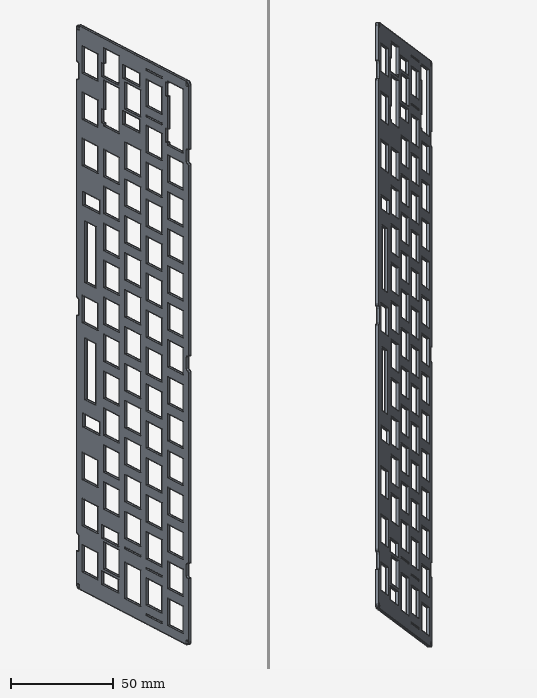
import cadquery as cq

UNIT = 19.05
ROW_UNITS = 15
ROW_COUNT = 5
PLATE_WIDTH = 100.0
PLATE_LENGTH = 290.5
THICKNESS = 1.5
TILT = 6.0
CUT_DEPTH = 3 * THICKNESS

CORNER_RADIUS = 2.0
CORNER_HOLE_INSET = 1.5
LEFT_HOLE_DIAMETER = 1.96
RIGHT_HOLE_DIAMETER = 1.86

SWITCH = 14.0
STABILIZER_WIDTH = 15.0
STABILIZER_LENGTH = 7.0
STABILIZER_SHIFT = 1.2
STABILIZER_SPREAD = 11.9
SPACEBAR_SPREAD = 3 * UNIT
SLIT_LENGTH = 0.8
SLIT_SPREAD = 11.95
WINDOW_WIDTH = 9.7
WINDOW_LENGTH = 31.7
WINDOW_SHIFT = 0.35
WINDOW_SPREAD = 30.2

NOTCH_DEPTH = 2.0
LEFT_NOTCH_LENGTH = 9.0
LEFT_NOTCH_RADIUS = 0.98
LEFT_NOTCH_OFFSET = 121.7
RIGHT_NOTCH_LENGTH = 7.5
RIGHT_NOTCH_RADIUS = 0.93
RIGHT_NOTCH_OFFSET = 106.85

SPACE_ROW, SHIFT_ROW, HOME_ROW, TAB_ROW, NUMBER_ROW = range(ROW_COUNT)
SPACEBAR = 7.5
LEFT_SHIFT = 13.875
RIGHT_SHIFT = 1.375
ENTER = 1.125
BACKSPACE = 1.0
WIDE_TAB_ROW_KEYS = [0.75, 14.25]
HOME_ROW_SLIT_KEY = 14.0

SINGLE_KEYS = {
    SPACE_ROW: [0.75, 2.0, 3.25, SPACEBAR, 11.75, 13.0, 14.25],
    SHIFT_ROW: [3.25 + key for key in range(10)] + [LEFT_SHIFT],
    HOME_ROW: [ENTER] + [2.75 + key for key in range(11)],
    TAB_ROW: WIDE_TAB_ROW_KEYS + [2.0 + key for key in range(12)],
    NUMBER_ROW: [2.5 + key for key in range(13)],
}

SHARED_KEYS = [
    (NUMBER_ROW, BACKSPACE - 0.5, BACKSPACE + 0.5),
    (SHIFT_ROW, 0.5, 0.5),
    (SHIFT_ROW, RIGHT_SHIFT, RIGHT_SHIFT + 0.5),
    (HOME_ROW, 14.125, 14.375),
]

STABILIZED_KEYS = [
    (NUMBER_ROW, BACKSPACE, STABILIZER_SPREAD, -STABILIZER_SHIFT),
    (HOME_ROW, ENTER, STABILIZER_SPREAD, -STABILIZER_SHIFT),
    (SHIFT_ROW, RIGHT_SHIFT, STABILIZER_SPREAD, -STABILIZER_SHIFT),
    (SHIFT_ROW, LEFT_SHIFT, STABILIZER_SPREAD, -STABILIZER_SHIFT),
    (SPACE_ROW, SPACEBAR, SPACEBAR_SPREAD, STABILIZER_SHIFT),
]


def row_x(row):
    return (row - (ROW_COUNT - 1) / 2) * UNIT


def key_y(units):
    return (ROW_UNITS / 2 - units) * UNIT


def opening(x, y, width, length):
    """Rectangular cutter through the plate, centred on (x, y)."""
    return cq.Workplane("XY").box(width, length, CUT_DEPTH).translate((x, y, 0))


def switch_slot(row, first, last):
    """Opening for a switch at any place between two centres in a row."""
    length = SWITCH + (last - first) * UNIT
    return opening(row_x(row), key_y((first + last) / 2), SWITCH, length)


def stabilizer(row, key, spread, shift):
    return opening(row_x(row) + shift, key_y(key) + spread, STABILIZER_WIDTH, STABILIZER_LENGTH)


def slit(row, key, spread):
    return opening(row_x(row), key_y(key) + spread, SWITCH, SLIT_LENGTH)


def window(end):
    """Long opening on one side of the middle spacebar switch."""
    x = row_x(SPACE_ROW) + WINDOW_SHIFT
    return opening(x, end * WINDOW_SPREAD, WINDOW_WIDTH, WINDOW_LENGTH)


def corner_holes(side, diameter):
    """Small holes through the two corners on one side of the plate."""
    x = side * (PLATE_WIDTH / 2 - CORNER_HOLE_INSET)
    y = PLATE_LENGTH / 2 - CORNER_HOLE_INSET
    holes = cq.Workplane("XY").pushPoints([(x, y), (x, -y)]).circle(diameter / 2)
    return holes.extrude(CUT_DEPTH / 2, both=True)


def notch(side, y, length, radius, rounded_mouth_ends):
    """Notch in a long edge with rounded floor corners.

    side is -1 or 1. Each listed end, -1 for the lower or 1 for the upper, also has a rounded mouth.
    """
    edge = side * PLATE_WIDTH / 2
    floor = edge - side * NOTCH_DEPTH
    cutter = opening(edge, y, 2 * NOTCH_DEPTH, length)
    rounded_corners = [(floor, y - length / 2), (floor, y + length / 2)]
    for end in rounded_mouth_ends:
        wall = y + end * length / 2
        block = opening(edge + side * NOTCH_DEPTH / 2, wall, NOTCH_DEPTH, 4 * radius)
        cutter = cutter.union(block)
        rounded_corners.append((edge, wall))
    for corner_x, corner_y in rounded_corners:
        corner = cq.selectors.NearestToPointSelector((corner_x, corner_y, 0))
        cutter = cutter.edges(corner).fillet(radius)
    return cutter


def edge_notches(side, offset, length, radius):
    """Three notches in one long edge, mirrored about the middle of the plate."""
    return [
        notch(side, offset, length, radius, [-1]),
        notch(side, 0, length, radius, [-1, 1]),
        notch(side, -offset, length, radius, [1]),
    ]


cuts = [switch_slot(row, key, key) for row, keys in SINGLE_KEYS.items() for key in keys]
cuts += [switch_slot(row, first, last) for row, first, last in SHARED_KEYS]

for end in (-1, 1):
    cuts += [stabilizer(row, key, end * spread, shift) for row, key, spread, shift in STABILIZED_KEYS]
    cuts += [slit(TAB_ROW, key, end * SLIT_SPREAD) for key in WIDE_TAB_ROW_KEYS]
    cuts.append(window(end))
cuts.append(slit(HOME_ROW, HOME_ROW_SLIT_KEY, SLIT_SPREAD))

cuts += edge_notches(-1, LEFT_NOTCH_OFFSET, LEFT_NOTCH_LENGTH, LEFT_NOTCH_RADIUS)
cuts += edge_notches(1, RIGHT_NOTCH_OFFSET, RIGHT_NOTCH_LENGTH, RIGHT_NOTCH_RADIUS)
cuts.append(corner_holes(-1, LEFT_HOLE_DIAMETER))
cuts.append(corner_holes(1, RIGHT_HOLE_DIAMETER))

plate = cq.Workplane("XY").box(PLATE_WIDTH, PLATE_LENGTH, THICKNESS)
plate = plate.edges("|Z").fillet(CORNER_RADIUS)
for cut in cuts:
    plate = plate.cut(cut)

upright = plate.rotate((0, 0, 0), (1, 0, 0), 90)
result = upright.rotate((0, 0, 0), (0, 0, 1), TILT)